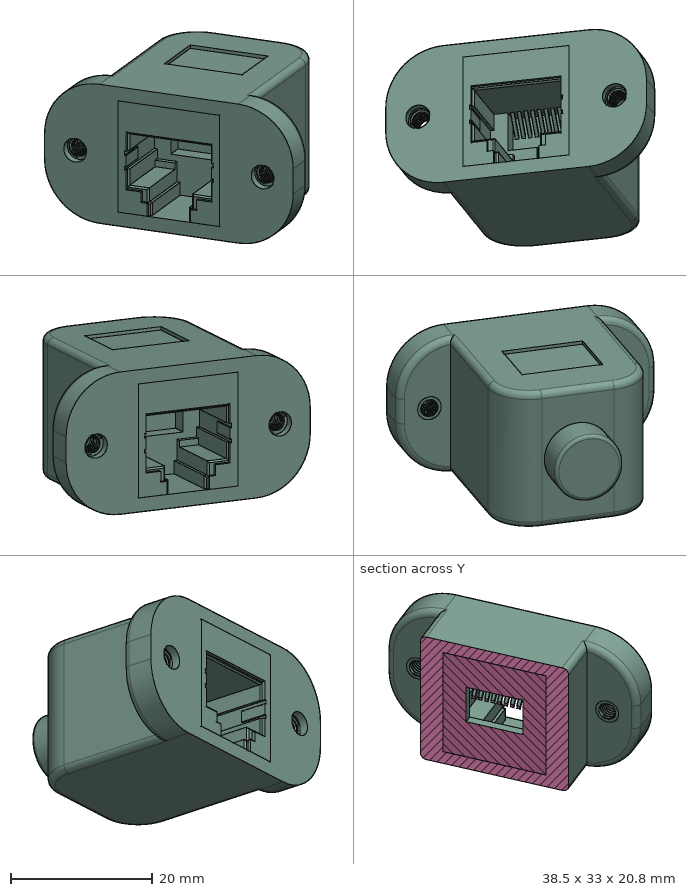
import cadquery as cq


flange_width = 38.5
height = 20.8
flange_thickness = 5.0
flange_corner_radius = 8.5
body_width = 22.8
body_depth = 28.0
body_corner_radius = 6.0
edge_fillet = 1.0
hole_spacing = 29.03
hole_diameter = 3.5
label_width = 12.0
label_length = 9.0
label_depth = 0.5
label_front = 12.0

overall_depth = 33.0
cable_diameter = 10.0
cable_fillet = 0.5

insert_recess = 1.3
insert_length = flange_thickness - insert_recess
thread_major = 3.08
thread_minor = 2.55
thread_pitch = 0.5
thread_overlap = 0.05
thread_crest_half = 0.08
thread_root_half = 0.25
thread_run_out = 0.3
thread_start_angle = -25.0

jack_width = 15.67
jack_height = 16.65
jack_depth = 15.4
jack_bottom = -jack_height / 2

mouth_depth = 0.5
mouth_side = 6.62
mouth_top = 3.8
mouth_shelf = -4.8
mouth_neck = 4.3
mouth_ledge = -6.4
mouth_latch = 3.35

lead_in = 0.243
cavity_depth = 10.4
cavity_side = mouth_side - lead_in
cavity_top = 3.35
cavity_shelf = -4.3
cavity_neck = mouth_latch
cavity_ledge = mouth_ledge
cavity_latch = 2.85

stop_top = -cavity_top
stop_length = 0.77

channel_top = 0.92
channel_bottom = -1.9
channel_side = 6.85
rib_side = mouth_side
rib_top = 0.3
rib_bottom = -1.4
rib_length = 4.25

contact_count = 8
contact_width = 0.55
contact_span = 6.9
contact_offset = -0.25
contact_tip = 0.2
contact_run = 2.45
contact_thickness = 0.5
contact_bay_side = mouth_neck
contact_bay_bottom = -2.4


def slab(x_min, x_max, y_min, y_max, z_min, z_max):
    """Box given by its limits along each axis."""
    size = (x_max - x_min, y_max - y_min, z_max - z_min)
    return cq.Workplane("XY").box(*size, centered=False).translate((x_min, y_min, z_min))


def front_plane(y):
    """Plane parallel to the panel face; a negative extrusion goes toward +Y."""
    return cq.Workplane("XZ", origin=(0, y, 0))


def make_flange():
    flange = front_plane(0).rect(flange_width, height).extrude(-flange_thickness)
    flange = flange.edges("|Y").fillet(flange_corner_radius)
    return flange.faces(">Y").edges().fillet(edge_fillet)


def make_body():
    body = slab(-body_width / 2, body_width / 2, 0, body_depth, -height / 2, height / 2)
    body = body.edges("|Z and >Y").fillet(body_corner_radius)
    return body.faces("<Z or >Z").edges("not <Y").fillet(edge_fillet)


def make_housing():
    housing = make_flange().union(make_body())
    label_pocket = slab(
        -label_width / 2, label_width / 2,
        label_front, label_front + label_length,
        height / 2 - label_depth, height / 2,
    )
    jack_pocket = front_plane(0).rect(jack_width, jack_height).extrude(-jack_depth)
    insert_holes = (
        front_plane(0)
        .pushPoints([(-hole_spacing / 2, 0), (hole_spacing / 2, 0)])
        .circle(hole_diameter / 2)
        .extrude(-flange_thickness)
    )
    return housing.cut(label_pocket).cut(jack_pocket).cut(insert_holes)


def make_cable():
    cable = front_plane(body_depth).circle(cable_diameter / 2).extrude(body_depth - overall_depth)
    return cable.faces(">Y").edges().fillet(cable_fillet)


def make_thread_groove():
    """Trapezoidal groove that winds from the front face and stops short of the back face."""
    root = thread_minor / 2 - thread_overlap
    crest = thread_major / 2
    helix_length = insert_length - thread_run_out
    helix = cq.Wire.makeHelix(thread_pitch, helix_length, root, lefthand=True)
    groove = (
        cq.Workplane("XZ")
        .polyline([
            (root, -thread_root_half), (crest, -thread_crest_half),
            (crest, thread_crest_half), (root, thread_root_half),
        ])
        .close()
        .sweep(cq.Workplane(helix), isFrenet=True)
    )
    groove = groove.rotate((0, 0, 0), (0, 0, 1), thread_start_angle)
    return groove.translate((0, 0, -thread_crest_half))


def make_insert(x):
    insert = (
        cq.Workplane("XY")
        .circle(hole_diameter / 2)
        .circle(thread_minor / 2)
        .extrude(insert_length)
        .cut(make_thread_groove())
    )
    insert = insert.rotate((0, 0, 0), (1, 0, 0), -90)
    return insert.translate((x, insert_recess, 0))


def plug_outline(side, top, shelf, neck, ledge, latch):
    """Corners of a stepped plug opening that narrows twice toward the open bottom."""
    right = [
        (side, top), (side, shelf),
        (neck, shelf), (neck, ledge),
        (latch, ledge), (latch, jack_bottom),
    ]
    left = [(-x, z) for x, z in reversed(right)]
    return right + left


def cavity_outline(growth):
    """Outline of the plug cavity, widened evenly by the given growth."""
    return plug_outline(
        cavity_side + growth, cavity_top + growth, cavity_shelf - growth,
        cavity_neck + growth, cavity_ledge - growth, cavity_latch + growth,
    )


def make_plug_opening():
    mouth = front_plane(0).polyline(
        plug_outline(mouth_side, mouth_top, mouth_shelf, mouth_neck, mouth_ledge, mouth_latch)
    ).close().extrude(-mouth_depth)
    funnel = (
        front_plane(mouth_depth).polyline(cavity_outline(lead_in)).close()
        .workplane(offset=-lead_in).polyline(cavity_outline(0)).close()
        .loft(ruled=True)
    )
    cavity = front_plane(mouth_depth).polyline(cavity_outline(0)).close()
    cavity = cavity.extrude(mouth_depth - cavity_depth)
    return mouth.union(funnel).union(cavity)


def make_plug_stop(x_min, x_max):
    """Raised step at the back end of a shelf."""
    return slab(x_min, x_max, cavity_depth - stop_length, cavity_depth, cavity_shelf, stop_top)


def make_side_channels():
    """Channel along both side walls, with a rib down the middle of its front part."""
    channels = slab(-channel_side, channel_side, 0, cavity_depth, channel_bottom, channel_top)
    for x_min, x_max in [(-channel_side, -rib_side), (rib_side, channel_side)]:
        channels = channels.cut(slab(x_min, x_max, 0, rib_length, rib_bottom, rib_top))
    return channels


def make_contact(x):
    """Strip that slopes from the bay's ceiling down to its back wall."""
    bay_end = cavity_depth + contact_run
    rise = cavity_top - contact_tip
    upper_run = contact_run * (rise - contact_thickness) / rise
    return (
        cq.Workplane("YZ", origin=(x - contact_width / 2, 0, 0))
        .moveTo(cavity_depth, cavity_top)
        .lineTo(bay_end, contact_tip)
        .lineTo(bay_end, contact_tip + contact_thickness)
        .lineTo(bay_end - upper_run, cavity_top)
        .close()
        .extrude(contact_width)
    )


def make_jack():
    jack = front_plane(0).rect(jack_width, jack_height).extrude(-jack_depth)
    jack = jack.cut(make_plug_opening()).cut(make_side_channels())
    jack = jack.union(make_plug_stop(-cavity_side, -cavity_neck))
    jack = jack.union(make_plug_stop(cavity_neck, cavity_side))
    contact_bay = slab(
        -contact_bay_side, contact_bay_side,
        cavity_depth, cavity_depth + contact_run,
        contact_bay_bottom, cavity_top,
    )
    jack = jack.cut(contact_bay)
    contact_pitch = contact_span / (contact_count - 1)
    for i in range(contact_count):
        jack = jack.union(make_contact(contact_offset - contact_span / 2 + i * contact_pitch))
    return jack


housing = make_housing()
jack = make_jack()
cable = make_cable()
inserts = [make_insert(x) for x in (-hole_spacing / 2, hole_spacing / 2)]

result = cq.Compound.makeCompound(
    [housing.val(), jack.val(), cable.val(), *[insert.val() for insert in inserts]]
)